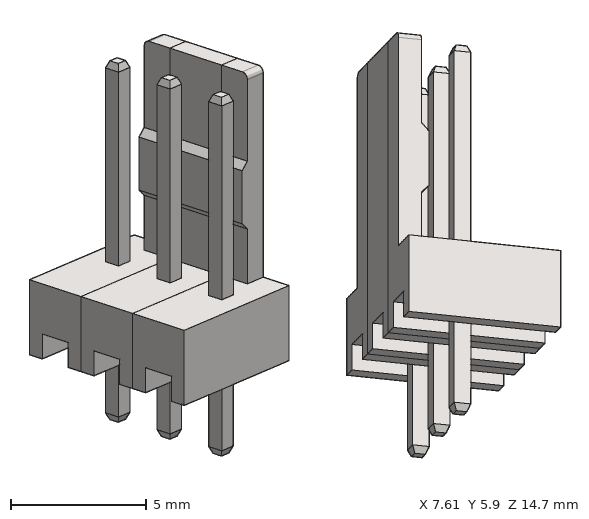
import cadquery as cq


BASE_WIDTH = 7.61
BASE_DEPTH = 5.9
BASE_HEIGHT = 3.0
SECTION_COUNT = 3
PITCH = BASE_WIDTH / SECTION_COUNT
BACK_Y = BASE_DEPTH / 2

SLOT_WIDTH = PITCH / 2
SLOT_HEIGHT = 1.0

OVERALL_HEIGHT = 14.7
PIN_BELOW_BASE = 3.31
WALL_TOP_Z = OVERALL_HEIGHT - PIN_BELOW_BASE
WALL_THICKNESS = 0.9
WALL_CORNER_RADIUS = 0.25

RIDGE_DEPTH = 0.3
RIDGE_ABOVE_BASE = 2.19
RIDGE_BOTTOM_Z = BASE_HEIGHT + RIDGE_ABOVE_BASE
RIDGE_HEIGHT = 2.7
RIDGE_TOP_Z = RIDGE_BOTTOM_Z + RIDGE_HEIGHT

PIN_SIDE = 0.65
PIN_TOP_BELOW_WALL_TOP = 0.38
PIN_TIP_LENGTH = 0.28
PIN_TIP_SIDE = 0.41
PIN_TO_BACK = 2.38
PIN_Y = BACK_Y - PIN_TO_BACK
PIN_BOTTOM_Z = -PIN_BELOW_BASE
PIN_TOP_Z = WALL_TOP_Z - PIN_TOP_BELOW_WALL_TOP


def base_slice(center_x):
    """One pitch of the base, with a slot along Y cut through its underside."""
    block = cq.Workplane("XY").center(center_x, 0).rect(PITCH, BASE_DEPTH).extrude(BASE_HEIGHT)
    slot = cq.Workplane("XY").center(center_x, 0).rect(SLOT_WIDTH, BASE_DEPTH).extrude(SLOT_HEIGHT)
    return block.cut(slot)


def pin_tip(center_x, wide_z, end_z):
    """Pyramid frustum from the full pin section at wide_z to the small end at end_z."""
    return (
        cq.Workplane("XY", origin=(center_x, PIN_Y, wide_z))
        .rect(PIN_SIDE, PIN_SIDE)
        .workplane(offset=end_z - wide_z)
        .rect(PIN_TIP_SIDE, PIN_TIP_SIDE)
        .loft(ruled=True)
    )


def pin(center_x):
    """Square pin standing through the base, tapered at both ends."""
    shank_bottom_z = PIN_BOTTOM_Z + PIN_TIP_LENGTH
    shank_top_z = PIN_TOP_Z - PIN_TIP_LENGTH
    shank = (
        cq.Workplane("XY", origin=(center_x, PIN_Y, shank_bottom_z))
        .rect(PIN_SIDE, PIN_SIDE)
        .extrude(shank_top_z - shank_bottom_z)
    )
    bottom_tip = pin_tip(center_x, shank_bottom_z, PIN_BOTTOM_Z)
    top_tip = pin_tip(center_x, shank_top_z, PIN_TOP_Z)
    return shank.union(bottom_tip).union(top_tip)


def wall_slice(center_x, width):
    """Piece of the locking wall with its ridge, extruded along X."""
    front_y = BACK_Y - WALL_THICKNESS
    ridge_y = front_y - RIDGE_DEPTH
    profile = [
        (BACK_Y, BASE_HEIGHT),
        (BACK_Y, WALL_TOP_Z),
        (front_y, WALL_TOP_Z),
        (front_y, RIDGE_TOP_Z),
        (ridge_y, RIDGE_TOP_Z - RIDGE_DEPTH),
        (ridge_y, RIDGE_BOTTOM_Z + RIDGE_DEPTH),
        (front_y, RIDGE_BOTTOM_Z),
        (front_y, BASE_HEIGHT),
    ]
    return cq.Workplane("YZ", origin=(center_x - width / 2, 0, 0)).polyline(profile).close().extrude(width)


def middle_section():
    """Section whose wall spans the whole pitch."""
    return base_slice(0).union(pin(0)).union(wall_slice(0, PITCH))


def end_section(side):
    """Outer section at -X (side = -1) or +X (side = 1).

    Its wall covers only the inner half of the pitch and has a rounded outer top corner.
    """
    center_x = side * PITCH
    wall_width = PITCH / 2
    wall = wall_slice(center_x - side * wall_width / 2, wall_width)
    outer_top_edge = wall.faces(">Z").edges(">X" if side > 0 else "<X")
    wall = outer_top_edge.fillet(WALL_CORNER_RADIUS)
    return base_slice(center_x).union(pin(center_x)).union(wall)


end_sections = [end_section(side) for side in (-1, 1)]

result = cq.Compound.makeCompound(
    [middle_section().val(), *[section.val() for section in end_sections]]
)